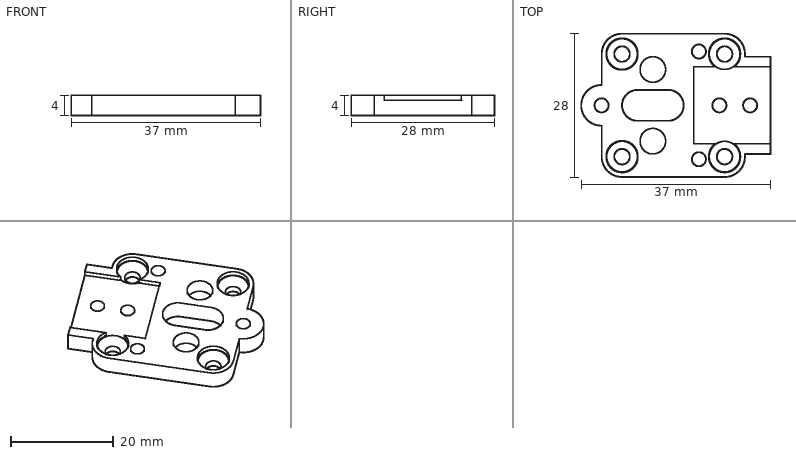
import cadquery as cq

length = 37.0
body_side = 28.0
thickness = 4.0
corner_radius = 4.0
ear_radius = 4.0
tab_width = 19.0

body_left = -body_side / 2
plate_right = body_left - ear_radius + length

pocket_side = 15.0
pocket_depth = 1.0

screw_offset = body_side / 2 - corner_radius
screw_diameter = 3.0
head_diameter = 6.2
head_depth = 1.0
cone_diameter = 6.0
cone_depth = (cone_diameter - screw_diameter) / 2

pin_diameter = 2.7
side_pin_x = 5.0
side_pin_y = 10.5
pocket_pin_xs = (9.0, 15.0)

slot_x = -4.0
slot_length = 12.0
slot_width = 6.0
blind_diameter = 5.0
blind_depth = 3.0
blind_y = 7.0


def make_plate():
    body = cq.Workplane("XY").rect(body_side, body_side).extrude(thickness)
    body = body.edges("|Z").fillet(corner_radius)
    ear = cq.Workplane("XY").center(body_left, 0).circle(ear_radius).extrude(thickness)
    tab = (
        cq.Workplane("XY")
        .center(plate_right / 2, 0)
        .rect(plate_right, tab_width)
        .extrude(thickness)
    )
    return body.union(ear).union(tab)


def make_pocket():
    return (
        cq.Workplane("XY", origin=(0, 0, thickness))
        .center(plate_right - pocket_side / 2, 0)
        .rect(pocket_side, pocket_side)
        .extrude(-pocket_depth)
    )


def make_holes(centers, diameter, depth=thickness):
    return (
        cq.Workplane("XY", origin=(0, 0, thickness))
        .pushPoints(centers)
        .circle(diameter / 2)
        .extrude(-depth)
    )


def make_screw_hole(x, y):
    """Revolved cutter: straight head recess, countersink cone, clearance hole."""
    cone_top = thickness - head_depth
    cone_bottom = cone_top - cone_depth
    return (
        cq.Workplane("XZ")
        .moveTo(0, 0)
        .lineTo(screw_diameter / 2, 0)
        .lineTo(screw_diameter / 2, cone_bottom)
        .lineTo(cone_diameter / 2, cone_top)
        .lineTo(head_diameter / 2, cone_top)
        .lineTo(head_diameter / 2, thickness)
        .lineTo(0, thickness)
        .close()
        .revolve(360, (0, 0), (0, 1))
        .translate((x, y, 0))
    )


def make_slot():
    return cq.Workplane("XY").center(slot_x, 0).slot2D(slot_length, slot_width).extrude(thickness)


pin_centers = [(body_left, 0), (side_pin_x, side_pin_y), (side_pin_x, -side_pin_y)]
pin_centers += [(x, 0) for x in pocket_pin_xs]
blind_centers = [(slot_x, blind_y), (slot_x, -blind_y)]

result = make_plate().cut(make_pocket()).cut(make_slot())
result = result.cut(make_holes(pin_centers, pin_diameter))
result = result.cut(make_holes(blind_centers, blind_diameter, blind_depth))
for screw_x in (-screw_offset, screw_offset):
    for screw_y in (-screw_offset, screw_offset):
        result = result.cut(make_screw_hole(screw_x, screw_y))